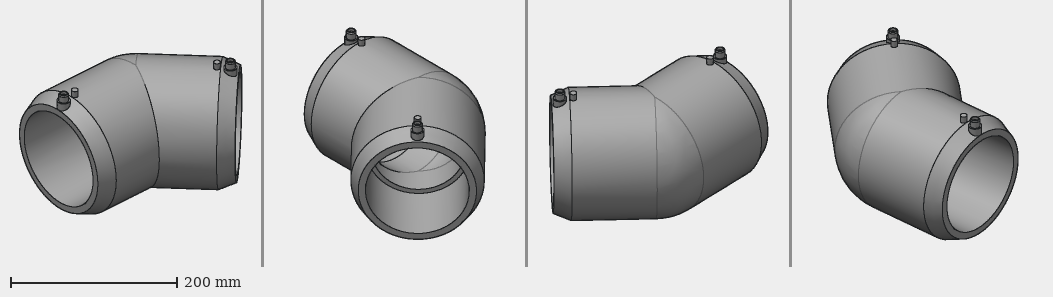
import cadquery as cq

bend_angle = 45.0
leg_length = 124.0
outer_radius = 161.0 / 2
end_radius = 71.3
taper_length = 21.5

bore_radius = 113.0 / 2
socket_radius = 125.0 / 2
socket_depth = 85.0

terminal_base_radius = 16.0 / 2
terminal_neck_radius = 12.0 / 2
straight_terminal_end_distance = 8.0
bent_terminal_end_distance = 9.7
terminal_top = 172.5 - outer_radius
neck_height = 10.0
neck_chamfer_width = 1.0
neck_chamfer_height = 1.5
terminal_hole_radius = 8.0 / 2
terminal_hole_depth = 9.2
contact_radius = 5.0 / 2
contact_chamfer = 0.8
contact_recess = 2.0

indicator_radius = 8.0 / 2
indicator_end_distance = 26.0
indicator_top = 89.2

fitting_root = (socket_radius + end_radius) / 2


def vertical_pin(y, radius, bottom, top):
    return cq.Workplane("XY", origin=(0, y, bottom)).circle(radius).extrude(top - bottom)


def leg_solid():
    """Outer body of the leg along -Y, tapered at its open end."""
    profile = [
        (0, 0),
        (outer_radius, 0),
        (outer_radius, taper_length - leg_length),
        (end_radius, -leg_length),
        (0, -leg_length),
    ]
    return cq.Workplane("XY").polyline(profile).close().revolve(360, (0, 0), (0, 1))


def leg_bore():
    """Stepped bore of the leg along -Y."""
    bore = cq.Workplane("XZ").circle(bore_radius).extrude(leg_length)
    socket_start = leg_length - socket_depth
    socket = cq.Workplane("XZ", origin=(0, -socket_start, 0)).circle(socket_radius).extrude(socket_depth)
    return bore.union(socket)


def terminal(end_distance):
    y = end_distance - leg_length
    base_top = terminal_top - neck_height
    base = vertical_pin(y, terminal_base_radius, fitting_root, base_top)
    neck = vertical_pin(y, terminal_neck_radius, fitting_root, terminal_top)
    neck = neck.faces(">Z").edges().chamfer(neck_chamfer_height, neck_chamfer_width)
    hole = vertical_pin(y, terminal_hole_radius, terminal_top - terminal_hole_depth, terminal_top)
    contact = vertical_pin(y, contact_radius, fitting_root, terminal_top - contact_recess)
    contact = contact.faces(">Z").edges().chamfer(contact_chamfer)
    return base.union(neck).cut(hole).union(contact)


def indicator():
    y = indicator_end_distance - leg_length
    return vertical_pin(y, indicator_radius, fitting_root, indicator_top)


def bend(shape):
    """Move a shape from the leg along -Y to the bent leg."""
    return shape.rotate((0, 0, 0), (0, 0, 1), 180 - bend_angle)


def on_both_legs(shape):
    return shape.union(bend(shape))


body = on_both_legs(leg_solid()).union(cq.Workplane("XY").sphere(outer_radius))
cavity = on_both_legs(leg_bore()).union(cq.Workplane("XY").sphere(bore_radius))

result = (
    body.cut(cavity)
    .union(on_both_legs(indicator()))
    .union(terminal(straight_terminal_end_distance))
    .union(bend(terminal(bent_terminal_end_distance)))
)